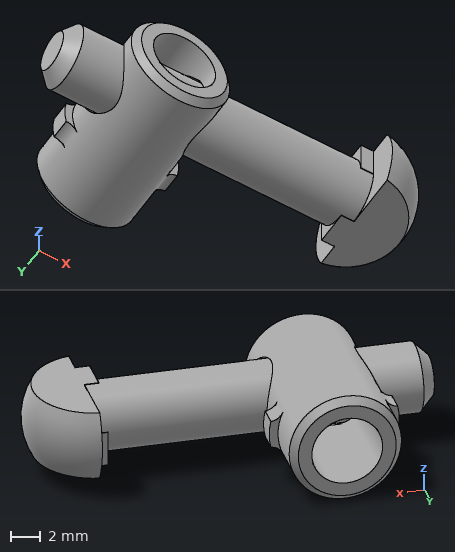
import cadquery as cq
import math


SHANK_DIAMETER = 4.9
SHANK_START_X = -8.0
SHANK_CHAMFER = 1.0

HEAD_BASE_X = 15.93
HEAD_TIP_X = 20.2
HEAD_RADIUS = 4.88
HEAD_THICKNESS = 5.0
KEY_LENGTH = 1.02

BARREL_DIAMETER = 7.8
BARREL_RADIUS = BARREL_DIAMETER / 2
BARREL_FRONT_Y = -4.0
BARREL_BACK_Y = 9.02
BARREL_LENGTH = BARREL_BACK_Y - BARREL_FRONT_Y
BARREL_CHAMFER = 0.5
BORE_DIAMETER = 4.9
SHANK_HOLE_DIAMETER = 5.1

LUG_REACH = 4.5
LUG_CENTER_Y = 4.75
LUG_WIDTH = 1.55
LUG_FACE_HEIGHT = 1.97
LUG_FILLET = 1.0


def cylinder_along_y(radius, length, start_y, x=0, z=0):
    """Cylinder that runs from start_y toward +Y."""
    return cq.Workplane("XZ", origin=(x, start_y, z)).circle(radius).extrude(-length)


def make_shank():
    length = HEAD_BASE_X - SHANK_START_X
    shank = cq.Workplane("YZ", origin=(SHANK_START_X, 0, 0)).circle(SHANK_DIAMETER / 2).extrude(length)
    return shank.faces("<X").chamfer(SHANK_CHAMFER)


def make_head():
    """Dome revolved about the bolt axis, then trimmed flat above and below."""
    dome_height = HEAD_TIP_X - HEAD_BASE_X
    dome_radius = (HEAD_RADIUS**2 + dome_height**2) / (2 * dome_height)
    dome_center_x = HEAD_TIP_X - dome_radius
    dome = cq.Workplane("XY").sphere(dome_radius).translate((dome_center_x, 0, 0))
    slab = cq.Workplane("XY", origin=(HEAD_BASE_X, 0, 0)).box(
        dome_height, 2 * HEAD_RADIUS, HEAD_THICKNESS, centered=(False, True, True)
    )
    return dome.intersect(slab)


def make_head_key(side):
    """Square key behind the head; side +1 is the upper one, -1 its opposite below."""
    key_size = HEAD_THICKNESS / 2
    center = (HEAD_BASE_X - KEY_LENGTH / 2, -side * key_size / 2, side * key_size / 2)
    return cq.Workplane("XY").box(KEY_LENGTH, key_size, key_size).translate(center)


def make_bolt():
    bolt = make_shank().union(make_head())
    for side in (1, -1):
        bolt = bolt.union(make_head_key(side))
    return bolt


def make_lug(side):
    """Lug with an outer face concentric with the barrel and root fillets tangent to the barrel."""
    start_y = LUG_CENTER_Y - LUG_WIDTH / 2
    fillet_center_z = LUG_FACE_HEIGHT / 2 + LUG_FILLET
    center_distance = BARREL_RADIUS + LUG_FILLET
    fillet_center_x = math.sqrt(center_distance**2 - fillet_center_z**2)
    root_height = 2 * fillet_center_z * BARREL_RADIUS / center_distance

    lug = cq.Workplane("XY").box(LUG_REACH, LUG_WIDTH, root_height)
    lug = lug.translate((side * LUG_REACH / 2, LUG_CENTER_Y, 0))
    for end in (1, -1):
        lug = lug.cut(
            cylinder_along_y(LUG_FILLET, LUG_WIDTH, start_y, side * fillet_center_x, end * fillet_center_z)
        )
    return lug.intersect(cylinder_along_y(LUG_REACH, LUG_WIDTH, start_y))


def make_barrel():
    barrel = cylinder_along_y(BARREL_RADIUS, BARREL_LENGTH, BARREL_FRONT_Y)
    barrel = barrel.faces("<Y or >Y").chamfer(BARREL_CHAMFER)
    for side in (1, -1):
        barrel = barrel.union(make_lug(side))
    barrel = barrel.cut(cylinder_along_y(BORE_DIAMETER / 2, BARREL_LENGTH, BARREL_FRONT_Y))
    shank_hole = cq.Workplane("YZ").circle(SHANK_HOLE_DIAMETER / 2).extrude(BARREL_RADIUS, both=True)
    return barrel.cut(shank_hole)


bolt = make_bolt()
barrel = make_barrel()

result = cq.Compound.makeCompound([bolt.val(), barrel.val()])